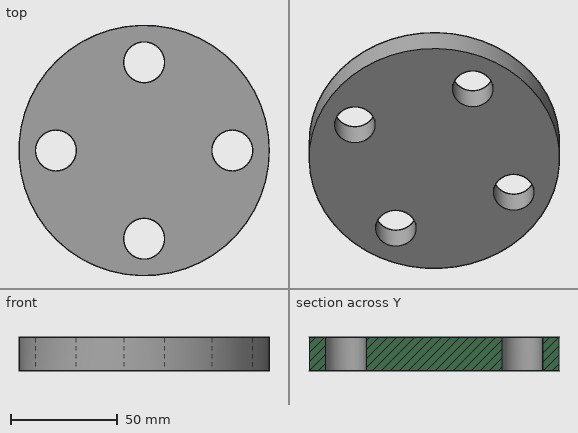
import cadquery as cq

flange_diameter = 117.3
flange_thickness = 15.7
bolt_circle_diameter = 82.6
bolt_hole_diameter = 19.0
bolt_hole_count = 4

disc = cq.Workplane("XY").circle(flange_diameter / 2).extrude(flange_thickness)

result = (
    disc.faces(">Z")
    .workplane()
    .polarArray(bolt_circle_diameter / 2, 0, 360, bolt_hole_count)
    .hole(bolt_hole_diameter)
)